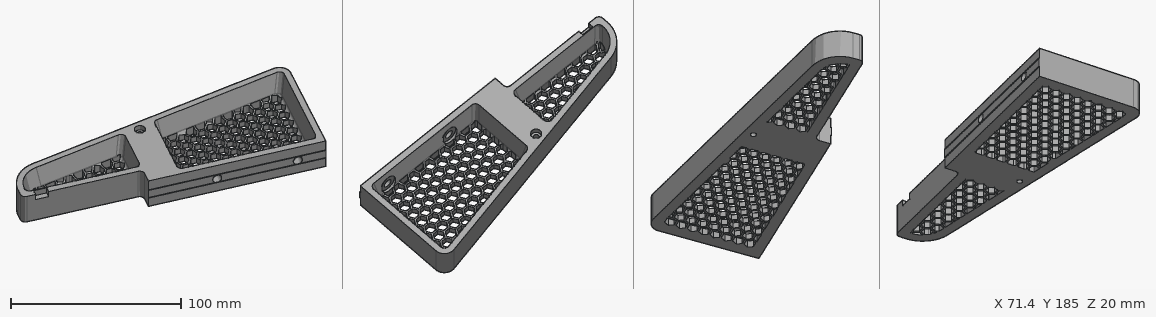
import cadquery as cq
import math

height = 20.0
total_length = 185.0
total_width = 71.37
tongue_depth = 0.5
tongue_height = 6.0
body_width = total_width - tongue_depth

slant = math.radians(12.0)
block_length = 110.0
finger_setback = 10.0
heel_radius = 7.0
tip_radius = 20.0
toe_radius = 3.0
step_radius = 3.0

wall = 4.0
side_wall = 4.2
bridge = 20.0
floor_thickness = 4.0
draft_angle = 10.0
pocket_depth = height - floor_thickness
pocket_corner_radius = 3.0
pocket_floor_radius = 3.0

cell_width = 6.0
cell_pitch = 7.2
row_pitch = cell_pitch * math.sqrt(3) / 2
first_cell_x = -10.0
first_cell_y = -wall - row_pitch
honeycomb_inset = 2.5
cell_height = floor_thickness + pocket_floor_radius

bridge_hole_x = -45.0
bridge_hole_y = -block_length + bridge / 2
bridge_hole_diameter = 3.4
bridge_counterbore_diameter = 6.5
bridge_counterbore_depth = 3.4

side_hole_diameter = 5.5
side_seat_diameter = 11.0
side_seat_wall = 5.0
side_hole_ys = (-17.5, -67.5)

notch_width = 8.0
notch_depth = 4.0
notch_center_y = -172.5
notch_lip = 0.5

heel_corner_x = -body_width - heel_radius * (math.tan(slant) + 1 / math.cos(slant) - 1)


def slanted_x(y, inset=0.0):
    """X of the slanted side at y, moved squarely inwards by inset."""
    return heel_corner_x - y * math.tan(slant) + inset / math.cos(slant)


def round_edge(solid, point, radius):
    return solid.edges(cq.selectors.NearestToPointSelector(point)).fillet(radius)


def make_body():
    side_x = -finger_setback
    tip = (slanted_x(-total_length), -total_length)
    heel = (heel_corner_x, 0)
    toe = (side_x, -total_length)
    step = (side_x, -block_length)
    outline = [(0, 0), heel, tip, toe, step, (0, -block_length)]
    body = cq.Workplane("XY").polyline(outline).close().extrude(height)
    corners = [(heel, heel_radius), (tip, tip_radius), (toe, toe_radius), (step, step_radius)]
    for (x, y), radius in corners:
        body = round_edge(body, (x, y, height / 2), radius)
    return body


def make_tongue():
    return (
        cq.Workplane("XY", origin=(0, -block_length, (height - tongue_height) / 2))
        .box(tongue_depth, block_length, tongue_height, centered=False)
    )


def pocket_corners(back_y, front_y, side_x, inset=0.0):
    """Sharp corners of a pocket's rim, shrunk by inset on all four sides."""
    back = back_y - inset
    front = front_y + inset
    side = side_x - inset
    slanted_inset = wall + inset
    return [
        (slanted_x(back, slanted_inset), back),
        (slanted_x(front, slanted_inset), front),
        (side, front),
        (side, back),
    ]


def make_pocket(limits, slanted_front_radius):
    """Drafted pocket with rounded corners and a rounded floor edge."""
    rim = pocket_corners(*limits)
    pocket = (
        cq.Workplane("XY", origin=(0, 0, height))
        .polyline(rim).close()
        .extrude(-pocket_depth, taper=draft_angle)
    )
    radii = [pocket_corner_radius, slanted_front_radius, pocket_corner_radius, pocket_corner_radius]
    for (x, y), radius in zip(rim, radii):
        pocket = round_edge(pocket, (x, y, height - pocket_depth / 2), radius)
    return pocket.faces("<Z").edges().fillet(pocket_floor_radius)


def make_honeycomb(limits, slanted_front_radius):
    """Hexagonal cells of the common grid, cut off at the border inside one pocket."""
    border = pocket_corners(*limits, inset=honeycomb_inset)
    rim_back_y = limits[0]
    front_y = border[1][1]
    side_x = border[2][0]
    reach = cell_pitch / 2
    cell = (
        cq.Workplane("XY")
        .polygon(6, cell_width, circumscribed=True)
        .extrude(cell_height)
        .val()
    )
    cells = []
    first_row = math.ceil((first_cell_y - rim_back_y) / row_pitch + 0.5)
    last_row = math.floor((first_cell_y - front_y + reach) / row_pitch)
    for row in range(first_row, last_row + 1):
        y = first_cell_y - row * row_pitch
        x = first_cell_x + cell_pitch / 2 * (row % 2)
        while x > slanted_x(y, wall):
            if x < side_x + reach:
                cells.append(cell.moved(cq.Location(cq.Vector(x, y, 0))))
            x -= cell_pitch
    region = cq.Workplane("XY").polyline(border).close().extrude(cell_height)
    slanted_front = (*border[1], cell_height / 2)
    region = round_edge(region, slanted_front, slanted_front_radius - honeycomb_inset)
    return region.intersect(cq.Workplane(cq.Compound.makeCompound(cells)))


def cut_bridge_hole(part):
    return (
        part.faces(">Z").workplane(origin=(bridge_hole_x, bridge_hole_y, height))
        .cboreHole(bridge_hole_diameter, bridge_counterbore_diameter, bridge_counterbore_depth)
    )


def cut_side_holes(part):
    start_x = -2 * side_seat_wall
    for y in side_hole_ys:
        plane = cq.Workplane("YZ", origin=(start_x, y, height / 2))
        seat = plane.circle(side_seat_diameter / 2).extrude(-side_seat_wall - start_x)
        hole = plane.circle(side_hole_diameter / 2).extrude(tongue_depth - start_x)
        part = part.cut(seat).cut(hole)
    return part


def cut_notch(part):
    inner_x = -finger_setback - wall + notch_lip
    notch = (
        cq.Workplane("XY", origin=(inner_x, notch_center_y - notch_width / 2, height - notch_depth))
        .box(wall, notch_width, notch_depth, centered=False)
    )
    return part.cut(notch)


block_pocket = (-wall, -block_length + bridge, -side_wall)
finger_pocket = (-block_length, -total_length + wall, -finger_setback - wall)

result = make_body().union(make_tongue())
result = cut_bridge_hole(result)
for limits, slanted_front_radius in [
    (block_pocket, pocket_corner_radius),
    (finger_pocket, tip_radius - wall),
]:
    result = result.cut(make_pocket(limits, slanted_front_radius))
    result = result.cut(make_honeycomb(limits, slanted_front_radius))
result = cut_side_holes(result)
result = cut_notch(result)